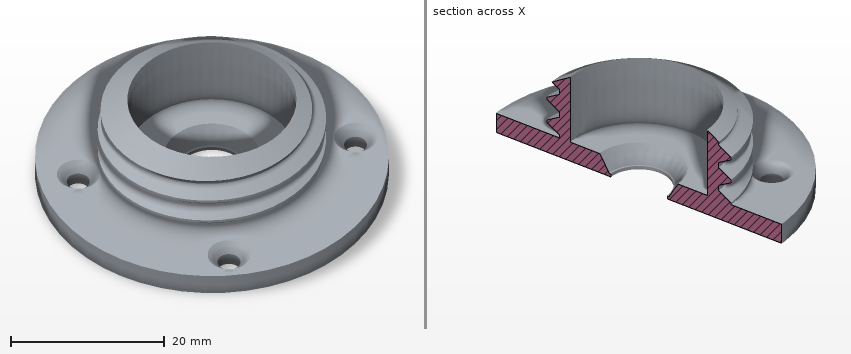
import cadquery as cq
import math

flange_diameter = 46.0
flange_thickness = 3.0
total_height = 13.0

bore_diameter = 22.0
root_diameter = 25.7
crest_diameter = 29.7
pitch = 3.5
crest_width = 0.4
flank_angle = 30.0
crest_height_at_x_axis = 2.15
root_overlap = 0.25
lead_in_drop = 2.45

center_hole_diameter = 9.0
seat_bottom_diameter = 9.55
seat_top_diameter = 12.6
seat_depth = 2.5

screw_hole_diameter = 3.0
countersink_diameter = 5.5
countersink_angle = 90.0
screw_positions = [(12.93, 13.95), (12.93, -13.95), (-9.5, 14.45), (-12.0, -13.0)]


def make_flange():
    flange = cq.Workplane("XY").circle(flange_diameter / 2).extrude(flange_thickness)
    flange = flange.faces(">Z").workplane().pushPoints(screw_positions)
    flange = flange.cskHole(screw_hole_diameter, countersink_diameter, countersink_angle)
    flange = flange.cut(cq.Workplane("XY").circle(center_hole_diameter / 2).extrude(flange_thickness))
    seat = (
        cq.Workplane("XY", origin=(0, 0, flange_thickness - seat_depth))
        .circle(seat_bottom_diameter / 2)
        .workplane(offset=seat_depth)
        .circle(seat_top_diameter / 2)
        .loft(ruled=True)
    )
    return flange.cut(seat)


def make_thread_ridge():
    """Right-handed trapezoidal ridge, longer at both ends than the collar."""
    root_radius = root_diameter / 2
    crest_radius = crest_diameter / 2
    half_crest = crest_width / 2
    inner_radius = root_radius - root_overlap
    half_base = half_crest + (crest_radius - inner_radius) * math.tan(math.radians(flank_angle))
    start_height = crest_height_at_x_axis - pitch
    turns = math.ceil((total_height - start_height) / pitch) + 1
    profile = (
        cq.Workplane("XZ")
        .polyline([
            (inner_radius, -half_base),
            (crest_radius, -half_crest),
            (crest_radius, half_crest),
            (inner_radius, half_base),
        ])
        .close()
    )
    helix = cq.Workplane(obj=cq.Wire.makeHelix(pitch, turns * pitch, root_radius))
    return profile.sweep(helix, isFrenet=True).translate((0, 0, start_height))


def make_collar_envelope():
    """Ring that bounds the collar: bore inside, crest diameter outside, cone on top."""
    bore_radius = bore_diameter / 2
    crest_radius = crest_diameter / 2
    clearance = 0.45
    outer_radius = crest_radius + clearance
    cone_slope = lead_in_drop / (crest_radius - bore_radius)
    cone_foot = total_height - (outer_radius - bore_radius) * cone_slope
    return (
        cq.Workplane("XZ")
        .polyline([
            (bore_radius, flange_thickness),
            (outer_radius, flange_thickness),
            (outer_radius, cone_foot),
            (bore_radius, total_height),
        ])
        .close()
        .revolve(360, (0, 0, 0), (0, 1, 0))
    )


def make_collar():
    core = (
        cq.Workplane("XY", origin=(0, 0, -3 * pitch))
        .circle(root_diameter / 2)
        .extrude(total_height + 6 * pitch)
    )
    return core.union(make_thread_ridge()).intersect(make_collar_envelope())


result = make_flange().union(make_collar())